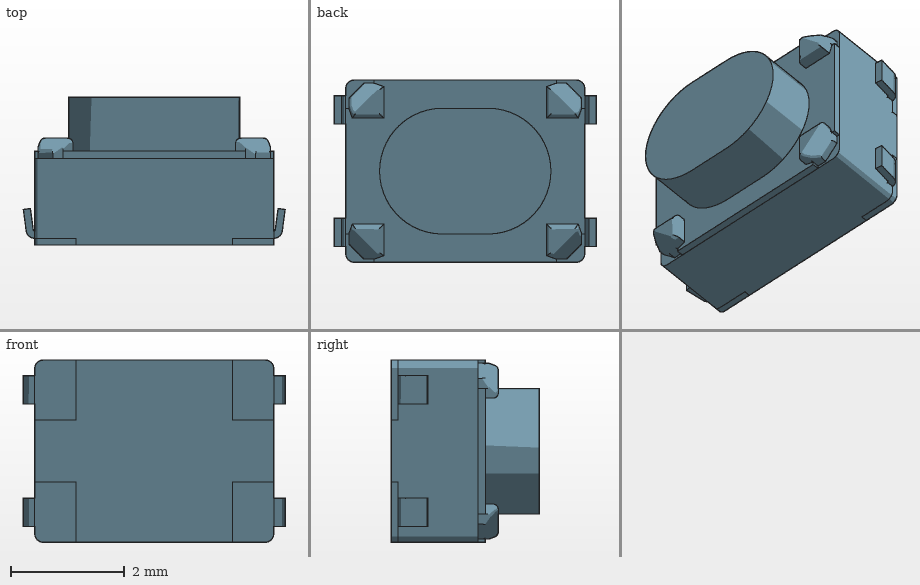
import cadquery as cq
import math


OVERALL_LENGTH = 4.6
OVERALL_DEPTH = 2.6

HOUSING_LENGTH = 4.2
HOUSING_HEIGHT = 3.2
HOUSING_DEPTH = 1.523
CORNER_RADIUS = 0.15

COVER_THICKNESS = 0.13
NOTCH_SIZE = 0.5
COVER_FACE = HOUSING_DEPTH + COVER_THICKNESS

BUTTON_RADIUS = 1.105
BUTTON_FLAT = 0.8

STAKE_INSET = 0.055
STAKE_CORNER_CUT = 0.265
STAKE_OVERHANG = 0.17
STAKE_SIDE_ANGLE = 20.0
STAKE_HEAD = 0.23
STAKE_FILLET = 0.095

PAD_LENGTH = 0.72
PAD_HEIGHT = 1.06
PAD_THICKNESS = 0.12
PIN_THICKNESS = 0.13
PIN_WIDTH = 0.5
PIN_SPACING = 2.15
PIN_ANGLE = 7.5
PIN_BEND_RADIUS = 0.15

SIDE_X = HOUSING_LENGTH / 2
SIDE_Z = HOUSING_HEIGHT / 2
SIGNS = (-1, 1)
CORNERS = [(x_side, z_side) for x_side in SIGNS for z_side in SIGNS]


def at_depth(y):
    """Workplane parallel to XZ at the given Y; a negative extrusion goes towards +Y."""
    return cq.Workplane("XZ", origin=(0, y, 0))


def mirrored_to_corner(body, x_side, z_side):
    """Copy of a body modelled at the +X +Z corner, placed at another corner."""
    if x_side < 0:
        body = body.mirror("YZ")
    if z_side < 0:
        body = body.mirror("XY")
    return body


def rounded_block(depth):
    """Block with the outline of the housing, starting at the solder side."""
    block = at_depth(0).rect(HOUSING_LENGTH, HOUSING_HEIGHT).extrude(-depth)
    return block.edges("|Y").fillet(CORNER_RADIUS)


def make_button():
    """Button with two round ends, resting on the housing and reaching through the cover."""
    length = BUTTON_FLAT + 2 * BUTTON_RADIUS
    depth = OVERALL_DEPTH - HOUSING_DEPTH
    return at_depth(HOUSING_DEPTH).slot2D(length, 2 * BUTTON_RADIUS).extrude(-depth)


def make_cover(button):
    """Flat plate with a notch at each corner and an opening for the button."""
    plate = at_depth(HOUSING_DEPTH).rect(HOUSING_LENGTH, HOUSING_HEIGHT).extrude(-COVER_THICKNESS)
    notches = (
        at_depth(HOUSING_DEPTH)
        .rect(HOUSING_LENGTH, HOUSING_HEIGHT, forConstruction=True)
        .vertices()
        .rect(2 * NOTCH_SIZE, 2 * NOTCH_SIZE)
        .extrude(-COVER_THICKNESS)
    )
    return plate.cut(notches).cut(button)


def stake_prism(y_start, depth, distances):
    """Prism whose outline is given by distances inwards from the +X and +Z housing sides."""
    outline = [(SIDE_X - from_x, SIDE_Z - from_z) for from_x, from_z in distances]
    return at_depth(y_start).polyline(outline).close().extrude(-depth)


def stake_slope():
    """Cutter for the 45 degree slope from the corner cut at the cover face to the top of the head."""
    cut_depth = STAKE_CORNER_CUT / math.sqrt(2)
    head_corner = (SIDE_X - STAKE_INSET, COVER_FACE, SIDE_Z - STAKE_INSET)
    diagonal_plane = cq.Plane(origin=head_corner, xDir=(-1, 0, -1), normal=(1, 0, -1))
    profile = [(0, 0), (cut_depth, 0), (cut_depth + STAKE_HEAD, STAKE_HEAD), (0, STAKE_HEAD)]
    half_width = NOTCH_SIZE + STAKE_OVERHANG
    return cq.Workplane(diagonal_plane).polyline(profile).close().extrude(half_width, both=True)


def make_stake():
    """Stake at the +X +Z corner: a shank filling the notch and a rounded head over the cover."""
    cut_end = STAKE_INSET + STAKE_CORNER_CUT
    head_end = NOTCH_SIZE + STAKE_OVERHANG
    tip = STAKE_INSET + STAKE_OVERHANG * math.tan(math.radians(STAKE_SIDE_ANGLE))
    outer_sides = [
        (STAKE_INSET, NOTCH_SIZE),
        (STAKE_INSET, cut_end),
        (cut_end, STAKE_INSET),
        (NOTCH_SIZE, STAKE_INSET),
    ]
    shank_end = [(NOTCH_SIZE, NOTCH_SIZE)]
    overhang = [(head_end, tip), (head_end, head_end), (tip, head_end)]

    shank = stake_prism(HOUSING_DEPTH, COVER_THICKNESS, outer_sides + shank_end)
    head = stake_prism(COVER_FACE, STAKE_HEAD, outer_sides + overhang)
    stake = shank.union(head).cut(stake_slope())

    top_rim = stake.faces(">Y").edges()
    slope_middle = cq.selectors.NearestToPointSelector(
        (SIDE_X - cut_end, COVER_FACE + STAKE_HEAD / 2, SIDE_Z - cut_end)
    )
    slope_rim = stake.faces(slope_middle).edges()
    return top_rim.add(slope_rim).fillet(STAKE_FILLET)


def make_terminal():
    """Terminal at the +X +Z corner: a solder pad with a pin folded up along the housing side."""
    pad_end = SIDE_X - PAD_LENGTH
    pad_blank = (
        at_depth(0)
        .moveTo(pad_end, SIDE_Z - PAD_HEIGHT)
        .rect(PAD_LENGTH, PAD_HEIGHT, centered=False)
        .extrude(-PAD_THICKNESS)
    )
    pad = pad_blank.intersect(rounded_block(PAD_THICKNESS))

    lean = math.radians(PIN_ANGLE)
    bend_start = -math.pi / 2
    bend_end = -lean
    bend_middle = (bend_start + bend_end) / 2
    outer_radius = PIN_BEND_RADIUS
    inner_radius = PIN_BEND_RADIUS - PIN_THICKNESS
    leg_reach = OVERALL_LENGTH / 2 - SIDE_X - outer_radius * math.cos(lean)
    leg_length = leg_reach / math.sin(lean)

    def on_bend(radius, angle, along_leg=0.0):
        """Point on the bend, shifted along the direction of the upright leg."""
        x = SIDE_X + radius * math.cos(angle) + along_leg * math.sin(lean)
        y = PAD_THICKNESS + outer_radius + radius * math.sin(angle) + along_leg * math.cos(lean)
        return (x, y)

    pin = (
        cq.Workplane("XY", origin=(0, 0, PIN_SPACING / 2))
        .moveTo(pad_end, PAD_THICKNESS)
        .lineTo(*on_bend(outer_radius, bend_start))
        .threePointArc(on_bend(outer_radius, bend_middle), on_bend(outer_radius, bend_end))
        .lineTo(*on_bend(outer_radius, bend_end, leg_length))
        .lineTo(*on_bend(inner_radius, bend_end, leg_length))
        .lineTo(*on_bend(inner_radius, bend_end))
        .threePointArc(on_bend(inner_radius, bend_middle), on_bend(inner_radius, bend_start))
        .lineTo(pad_end, PAD_THICKNESS + PIN_THICKNESS)
        .close()
        .extrude(PIN_WIDTH / 2, both=True)
    )
    return pad.union(pin)


def make_housing(terminals):
    """Rounded block with a stake at each corner and a recess around each terminal."""
    housing = rounded_block(HOUSING_DEPTH)
    stake = make_stake()
    for x_side, z_side in CORNERS:
        housing = housing.union(mirrored_to_corner(stake, x_side, z_side))
    for terminal in terminals:
        housing = housing.cut(terminal)
    return housing


button = make_button()
cover = make_cover(button)
corner_terminal = make_terminal()
terminals = [mirrored_to_corner(corner_terminal, x_side, z_side) for x_side, z_side in CORNERS]
housing = make_housing(terminals)

bodies = [housing, cover, button, *terminals]
result = cq.Compound.makeCompound([body.solids().val() for body in bodies])